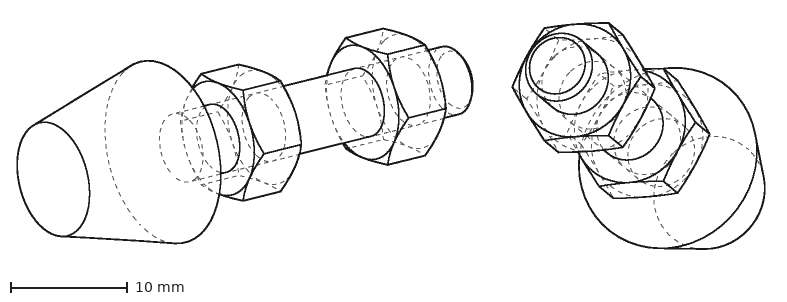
import cadquery as cq
import math

rod_radius = 3.0
tip_face_radius = 5.0
tip_rim_radius = 8.0
tip_cone_length = 12.0
tip_shoulder_length = 2.0
total_length = 44.0
rod_end_chamfer = 0.5

nut_across_flats = 10.0
nut_thickness = 5.0
nut_chamfer_angle = 30.0
nut_starts = [18.05, 33.9]

tip_length = tip_cone_length + tip_shoulder_length
nut_corner_radius = nut_across_flats / 2 / math.cos(math.radians(30))
nut_face_radius = nut_across_flats / 2
nut_chamfer_depth = (nut_corner_radius - nut_face_radius) * math.tan(math.radians(nut_chamfer_angle))


def revolve_about_y(profile):
    """Turn a closed half profile of (radius, Y) points about the Y axis."""
    return cq.Workplane("XY").polyline(profile).close().revolve(360, (0, 0, 0), (0, 1, 0))


def make_spindle():
    """Plain round rod and conical tip as one turned piece."""
    return revolve_about_y([
        (0, 0),
        (tip_face_radius, 0),
        (tip_rim_radius, tip_cone_length),
        (rod_radius, tip_length),
        (rod_radius, total_length - rod_end_chamfer),
        (rod_radius - rod_end_chamfer, total_length),
        (0, total_length),
    ])


def make_nut(start):
    """Hexagon nut from Y = start, with flats facing +Z and -Z and both ends corner-chamfered."""
    end = start + nut_thickness
    hexagon = (
        cq.Workplane("XZ", origin=(0, start, 0))
        .polygon(6, 2 * nut_corner_radius)
        .circle(rod_radius)
        .extrude(-nut_thickness)
    )
    chamfer_envelope = revolve_about_y([
        (0, start),
        (nut_face_radius, start),
        (nut_corner_radius, start + nut_chamfer_depth),
        (nut_corner_radius, end - nut_chamfer_depth),
        (nut_face_radius, end),
        (0, end),
    ])
    return hexagon.intersect(chamfer_envelope).solids()


spindle = make_spindle()
nuts = [make_nut(start) for start in nut_starts]

result = cq.Compound.makeCompound([spindle.val(), *[nut.val() for nut in nuts]])